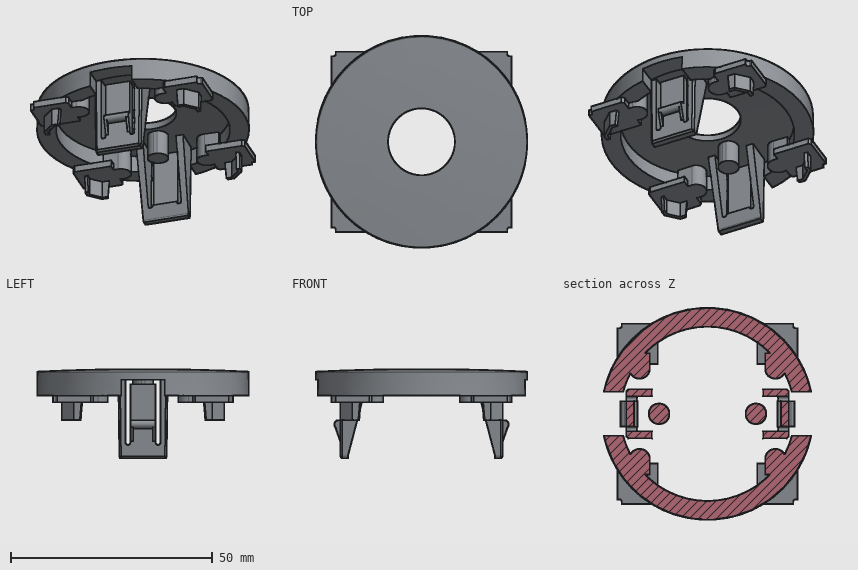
import cadquery as cq
import math

RIM_RADIUS = 26.35
SHOULDER_RADIUS = 26.25
SHOULDER_HEIGHT = 5.95
RIM_FILLET = 0.2
APEX_HEIGHT = 6.55
HOLE_RADIUS = 8.3
LID_THICKNESS = 1.85
WALL_INNER_RADIUS = 21.6
NOTCH_HALF_WIDTH = 5.45
NOTCH_HEIGHT = 3.9
ROOT_HEIGHT = 4.75

PLATE_OUTER = 22.4
PLATE_INNER = 12.35
PLATE_THICKNESS = 1.7
PLATE_CHAMFER = 0.6
CORNER_NOTCH = 1.1
CORNER_NOTCH_FILLET = 0.55
POST_OUTER = 20.2
POST_BOTTOM = -6.1
POST_CHAMFER = 2.95
POST_WALL = 0.85
POST_END_TOP = 15.1
POST_END_BOTTOM = 15.45
POST_END_SKEW = 0.25

BOSS_X = 12.0
BOSS_RADIUS = 2.6
FLAT_HALF_WIDTH = 0.5
LOBE_X = 16.9
LOBE_Y = 11.3
LOBE_RADIUS = 2.6

LEG_FACE = POST_OUTER
LEG_BOTTOM = -15.6
LEG_TIP_HEIGHT = 0.65
LEG_TIP_THICKNESS = 1.95
LEG_SLOPE = 0.26
LEG_HALF_WIDTH_TOP = 6.15
LEG_HALF_WIDTH_BOTTOM = 5.9
LEG_TIP_NARROWING = 0.15
LEG_CHAMFER = 0.5
SLOT_INNER = 3.15
SLOT_OUTER = 4.3
SLOT_BOTTOM = -12.25
TONGUE_TOP = 2.85
LIP_RADIUS = 1.05
LIP_REACH = 1.5
RIB_WIDTH = 0.7
RIB_BOTTOM = -11.4

SIDES = (-1, 1)


def centred_box(x_min, x_max, half_width, z_min, z_max):
    """Box spanning x_min..x_max and z_min..z_max, symmetric about y = 0."""
    return cq.Workplane("XY").box(
        x_max - x_min, 2 * half_width, z_max - z_min, centered=(False, True, False)
    ).translate((x_min, 0, z_min))


def make_disc():
    """Domed ring with a skirt, revolved about Z."""
    rise = (APEX_HEIGHT - SHOULDER_HEIGHT) / (SHOULDER_RADIUS ** 2 - HOLE_RADIUS ** 2)

    def dome(radius):
        return SHOULDER_HEIGHT + rise * (SHOULDER_RADIUS ** 2 - radius ** 2)

    top_mid = (HOLE_RADIUS + SHOULDER_RADIUS) / 2
    under_mid = (HOLE_RADIUS + WALL_INNER_RADIUS) / 2
    ring = (
        cq.Workplane("XZ")
        .moveTo(RIM_RADIUS, 0)
        .lineTo(SHOULDER_RADIUS, SHOULDER_HEIGHT)
        .threePointArc((top_mid, dome(top_mid)), (HOLE_RADIUS, APEX_HEIGHT))
        .lineTo(HOLE_RADIUS, APEX_HEIGHT - LID_THICKNESS)
        .threePointArc(
            (under_mid, dome(under_mid) - LID_THICKNESS),
            (WALL_INNER_RADIUS, dome(WALL_INNER_RADIUS) - LID_THICKNESS),
        )
        .lineTo(WALL_INNER_RADIUS, 0)
        .close()
        .revolve(360, (0, 0, 0), (0, 1, 0))
    )
    ring = ring.faces("%CONE").edges(">Z").fillet(RIM_FILLET)
    return ring.cut(centred_box(-RIM_RADIUS, RIM_RADIUS, NOTCH_HALF_WIDTH, 0, NOTCH_HEIGHT))


def make_post_section(plane, end):
    """Bent strip around the corner of the post, from one end to the other."""
    bend = POST_OUTER - POST_CHAMFER
    inner = POST_OUTER - POST_WALL
    inner_bend = bend - POST_WALL * math.tan(math.radians(45 / 2))
    half = [(end, inner), (end + POST_END_SKEW, POST_OUTER), (bend, POST_OUTER)]
    inner_half = [(inner, inner_bend), (inner_bend, inner)]
    mirrored = [(y, x) for x, y in reversed(half)]
    return plane.polyline(half + mirrored + inner_half).close()


def make_corner():
    """Plate with its lobe and post in the +X +Y corner."""
    plate_size = PLATE_OUTER - PLATE_INNER
    plate = (
        cq.Workplane("XY")
        .box(plate_size, plate_size, PLATE_THICKNESS, centered=False)
        .translate((PLATE_INNER, PLATE_INNER, -PLATE_THICKNESS))
    )
    plate = plate.edges("|Z").edges("(<X and >Y) or (>X and <Y)").chamfer(PLATE_CHAMFER)
    notch = cq.Workplane("XY").box(2 * CORNER_NOTCH, 2 * CORNER_NOTCH, 2 * PLATE_THICKNESS)
    notch = notch.edges("|Z").fillet(CORNER_NOTCH_FILLET)
    plate = plate.cut(notch.translate((PLATE_OUTER, PLATE_OUTER, -PLATE_THICKNESS)))

    top_section = make_post_section(cq.Workplane("XY", origin=(0, 0, -PLATE_THICKNESS)), POST_END_TOP)
    drop = POST_BOTTOM + PLATE_THICKNESS
    post = make_post_section(top_section.workplane(offset=drop), POST_END_BOTTOM).loft(ruled=True)

    lobe = (
        cq.Workplane("XY", origin=(0, 0, -PLATE_THICKNESS))
        .moveTo(LOBE_X + LOBE_RADIUS, POST_END_TOP)
        .lineTo(LOBE_X + LOBE_RADIUS, LOBE_Y)
        .threePointArc((LOBE_X, LOBE_Y - LOBE_RADIUS), (LOBE_X - LOBE_RADIUS, LOBE_Y))
        .lineTo(LOBE_X - LOBE_RADIUS, POST_END_TOP)
        .close()
        .extrude(PLATE_THICKNESS + ROOT_HEIGHT)
    )
    return plate.union(post).union(lobe)


def make_boss():
    """Round boss behind the +X leg, with narrow flats facing the centre and the leg."""
    height = PLATE_THICKNESS + ROOT_HEIGHT
    flat_distance = math.sqrt(BOSS_RADIUS ** 2 - FLAT_HALF_WIDTH ** 2)
    base = cq.Workplane("XY", origin=(BOSS_X, 0, -PLATE_THICKNESS))
    cylinder = base.circle(BOSS_RADIUS).extrude(height)
    return cylinder.intersect(base.rect(2 * flat_distance, 2 * BOSS_RADIUS).extrude(height))


def make_leg():
    """Wedge-shaped snap leg on the +X side with a flexible tongue and its barb."""
    tip_top = LEG_BOTTOM + LEG_TIP_HEIGHT
    tip_half_width = LEG_HALF_WIDTH_BOTTOM - LEG_TIP_NARROWING
    tip_inner = LEG_FACE - LEG_TIP_THICKNESS
    top_inner = tip_inner - LEG_SLOPE * (ROOT_HEIGHT - tip_top)
    wedge = (
        cq.Workplane("XZ")
        .polyline([
            (LEG_FACE, ROOT_HEIGHT),
            (LEG_FACE, LEG_BOTTOM),
            (tip_inner, LEG_BOTTOM),
            (tip_inner, tip_top),
            (top_inner, ROOT_HEIGHT),
        ])
        .close()
        .extrude(LEG_HALF_WIDTH_TOP, both=True)
    )
    outline = (
        cq.Workplane("YZ")
        .polyline([
            (-LEG_HALF_WIDTH_TOP, ROOT_HEIGHT),
            (LEG_HALF_WIDTH_TOP, ROOT_HEIGHT),
            (LEG_HALF_WIDTH_BOTTOM, tip_top),
            (tip_half_width, LEG_BOTTOM),
            (-tip_half_width, LEG_BOTTOM),
            (-LEG_HALF_WIDTH_BOTTOM, tip_top),
        ])
        .close()
        .extrude(LEG_FACE)
    )
    leg = wedge.intersect(outline)
    leg = leg.faces(">X").edges("not >Z").chamfer(LEG_CHAMFER)

    slot_width = SLOT_OUTER - SLOT_INNER
    slot_end = SLOT_BOTTOM + slot_width / 2
    for side in SIDES:
        slot_y = side * (SLOT_INNER + SLOT_OUTER) / 2
        channel = centred_box(0, LEG_FACE, slot_width / 2, slot_end, ROOT_HEIGHT).translate((0, slot_y, 0))
        round_end = (
            cq.Workplane("YZ").center(slot_y, slot_end).circle(slot_width / 2).extrude(LEG_FACE)
        )
        leg = leg.cut(channel).cut(round_end)
    leg = leg.cut(centred_box(0, tip_inner, SLOT_OUTER, slot_end, ROOT_HEIGHT))
    leg = leg.cut(centred_box(0, LEG_FACE, SLOT_INNER, TONGUE_TOP, ROOT_HEIGHT))
    return leg.union(make_barb())


def make_barb():
    """Rounded lip across the tongue, carried by a sloping rib at each end."""
    lip_x = LEG_FACE + LIP_REACH - LIP_RADIUS
    lip_z = POST_BOTTOM - LIP_RADIUS
    root_x = LEG_FACE - LEG_TIP_THICKNESS / 2
    lip = (
        cq.Workplane("XZ")
        .moveTo(root_x, lip_z + LIP_RADIUS)
        .lineTo(lip_x, lip_z + LIP_RADIUS)
        .threePointArc((lip_x + LIP_RADIUS, lip_z), (lip_x, lip_z - LIP_RADIUS))
        .lineTo(root_x, lip_z - LIP_RADIUS)
        .close()
        .extrude(SLOT_INNER, both=True)
    )
    rib = (
        cq.Workplane("XZ")
        .polyline([
            (root_x, lip_z),
            (lip_x + LIP_RADIUS, lip_z),
            (LEG_FACE, RIB_BOTTOM),
            (root_x, RIB_BOTTOM),
        ])
        .close()
        .extrude(RIB_WIDTH / 2, both=True)
    )
    rib_y = SLOT_INNER - RIB_WIDTH / 2
    for side in SIDES:
        lip = lip.union(rib.translate((0, side * rib_y, 0)))
    return lip


corner = make_corner()
half = make_leg().union(make_boss()).union(corner).union(corner.mirror("XZ"))
result = make_disc().union(half).union(half.mirror("YZ"))